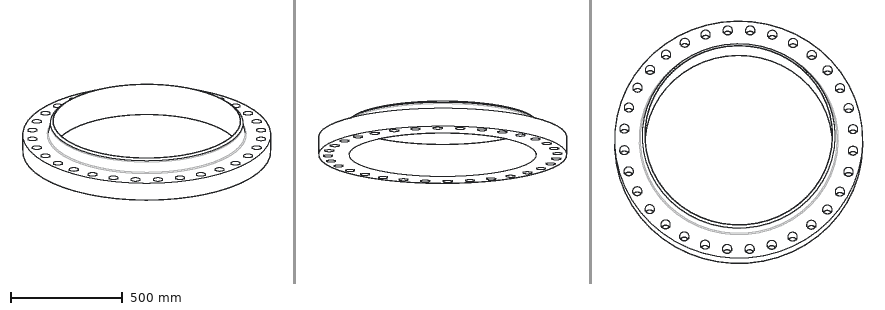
import cadquery as cq
import math

INCH = 25.4

flange_radius = 43.75 * INCH / 2
flange_thickness = 3.25 * INCH
overall_height = 147.83

bolt_count = 32
bolt_circle_radius = 40.5 * INCH / 2
bolt_hole_diameter = 1.625 * INCH

bore_radius = 33 * INCH / 2
hub_neck_radius = 34 * INCH / 2
hub_base_radius = 34.75 * INCH / 2
hub_neck_length = 0.25 * INCH
hub_fillet_radius = 5.5

weld_land_width = 1.6
weld_bevel_angle = 37.5
land_radius = bore_radius + weld_land_width
weld_bevel_height = (hub_neck_radius - land_radius) * math.tan(math.radians(weld_bevel_angle))
bevel_start_z = overall_height - weld_bevel_height
taper_end_z = bevel_start_z - hub_neck_length


def make_flange_body():
    """Flange ring and hub turned about Z, with the hub root rounded."""
    profile = (
        cq.Workplane("XZ")
        .moveTo(bore_radius, 0)
        .lineTo(flange_radius, 0)
        .lineTo(flange_radius, flange_thickness)
        .lineTo(hub_base_radius, flange_thickness)
        .lineTo(hub_neck_radius, taper_end_z)
        .lineTo(hub_neck_radius, bevel_start_z)
        .lineTo(land_radius, overall_height)
        .lineTo(bore_radius, overall_height)
        .close()
    )
    body = profile.revolve(360, (0, 0, 0), (0, 1, 0))
    margin = 1
    reach = hub_base_radius + margin
    hub_root = cq.selectors.BoxSelector(
        (-reach, -reach, flange_thickness - margin),
        (reach, reach, flange_thickness + margin),
        boundingbox=True,
    )
    return body.edges(hub_root).fillet(hub_fillet_radius)


def make_bolt_holes():
    """Cutters for the evenly spaced through holes."""
    return (
        cq.Workplane("XY")
        .polarArray(bolt_circle_radius, 0, 360, bolt_count)
        .circle(bolt_hole_diameter / 2)
        .extrude(flange_thickness)
    )


result = make_flange_body().cut(make_bolt_holes())